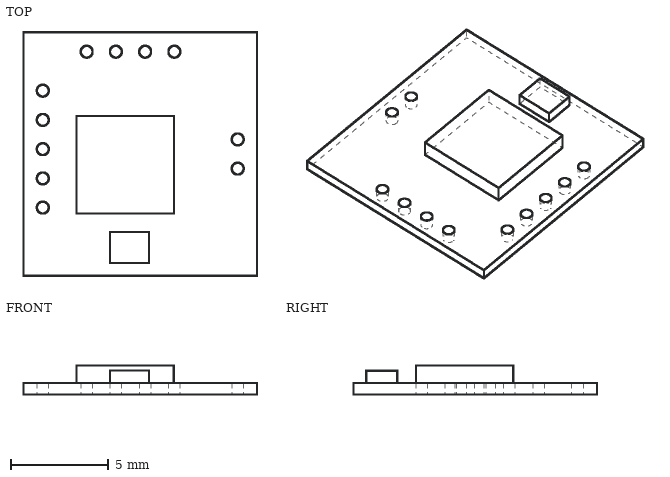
import cadquery as cq

BOARD_WIDTH = 12.0
BOARD_LENGTH = 12.5
BOARD_THICKNESS = 0.6

HOLE_DIAMETER = 0.6
HOLE_PITCH = 1.5
EDGE_INSET = 1.0
LEFT_HOLE_COUNT = 5
LEFT_FIRST_Y = 3.5
BACK_HOLE_COUNT = 4
BACK_FIRST_X = 3.25
RIGHT_HOLE_COUNT = 2
RIGHT_FIRST_Y = 5.5

CHIP_SIDE = 5.0
CHIP_HEIGHT = 0.9
CHIP_CENTER = (5.22, 5.7)

COMPONENT_WIDTH = 2.0
COMPONENT_LENGTH = 1.6
COMPONENT_HEIGHT = 0.63
COMPONENT_CENTER = (5.45, 1.45)


def make_board():
    return cq.Workplane("XY").box(BOARD_WIDTH, BOARD_LENGTH, BOARD_THICKNESS, centered=False)


def hole_centers():
    """Centers of the left, back and right hole rows."""
    left = [(EDGE_INSET, LEFT_FIRST_Y + i * HOLE_PITCH) for i in range(LEFT_HOLE_COUNT)]
    back_y = BOARD_LENGTH - EDGE_INSET
    back = [(BACK_FIRST_X + i * HOLE_PITCH, back_y) for i in range(BACK_HOLE_COUNT)]
    right_x = BOARD_WIDTH - EDGE_INSET
    right = [(right_x, RIGHT_FIRST_Y + i * HOLE_PITCH) for i in range(RIGHT_HOLE_COUNT)]
    return left + back + right


def drill_holes(board):
    return board.faces(">Z").workplane(origin=(0, 0, 0)).pushPoints(hole_centers()).hole(HOLE_DIAMETER)


def make_package(center, width, length, height):
    """Rectangular package standing on the board's top face."""
    top_face = cq.Workplane("XY").workplane(offset=BOARD_THICKNESS)
    return top_face.center(*center).rect(width, length).extrude(height)


board = drill_holes(make_board())
chip = make_package(CHIP_CENTER, CHIP_SIDE, CHIP_SIDE, CHIP_HEIGHT)
component = make_package(COMPONENT_CENTER, COMPONENT_WIDTH, COMPONENT_LENGTH, COMPONENT_HEIGHT)

result = board.union(chip).union(component)